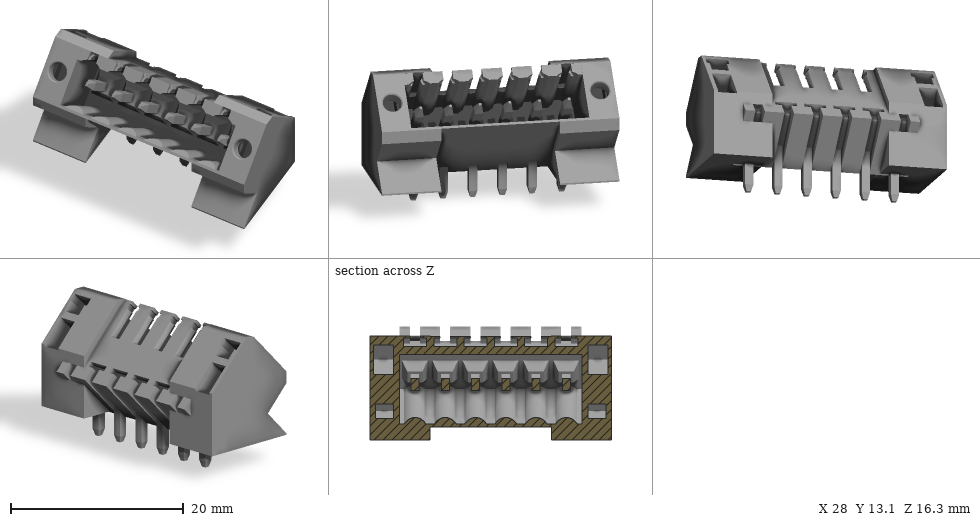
import cadquery as cq
import math


ROOT2 = math.sqrt(2)
TILT_ANGLE = 45

PITCH = 3.5
PIN_COUNT = 6
PIN_XS = [PITCH * (i - (PIN_COUNT - 1) / 2) for i in range(PIN_COUNT)]

HOUSING_LENGTH = PITCH * PIN_COUNT
HOUSING_FRONT = 11.07
V_BOTTOM = -0.19
V_TOP = 7.28
CAVITY_FLOOR = 3.09
V_CAVITY_BOTTOM = 0.12
V_CAVITY_TOP = 5.79
OVERCUT = 1.0

GUIDE_HALF = 1.25
GUIDE_RADIUS = 1.75
RIB_CHAMFER_LENGTH = 1.18
SHOULDER_HALF = 0.72
SLOT_THROAT_HALF = 0.4
SLOT_THROAT_DEPTH = 0.54
SLOT_OUTER_HALF = 0.71
SLOT_BACK = 6.1
LATCH_HALF = 0.89
LATCH_BACK = 9.95
LATCH_FRONT = 10.67
LATCH_RADIUS = 0.34
MOUTH_HALF = 0.58

REAR_SLOT_WIDTH = 1.15
REAR_SLOT_DEPTH = 1.36
REAR_NOTCH_DEPTH = 2.39
REAR_NOTCH_HEIGHT = 1.05
BARB_POCKET_WIDTH = 2.6
BARB_POCKET_BACK = 1.73

PIN_SIZE = 1.0
PIN_V = 3.32
CONTACT_TAPER_START = 8.4
CONTACT_END = 9.88
CONTACT_END_SIZE = 0.3
COLLAR_BASE = 3.0
COLLAR_TOP = 1.75
COLLAR_HEIGHT = 1.25
LEG_BOTTOM = -3.25
LEG_TAPER = 0.8
LEG_END_SIZE = 0.55

TOTAL_LENGTH = 28.0
END_WIDTH = 7.0
FLANGE_WIDTH = (TOTAL_LENGTH - HOUSING_LENGTH) / 2
END_BACK = 4.1
END_FRONT = -8.0
END_TOP = 13.0
TOP_FLAT = 1.37
OPENING_OFFSET = 15.7
NOSE_HEIGHT = 1.45
TOE_HEIGHT = 0.2

SCREW_V = 3.56
SCREW_DIAMETER = 2.2
SCREW_CHAMFER = 0.13
NUT_X = 12.29
NUT_WIDTH = 2.07
NUT_BACK = 7.12
NUT_FRONT = 9.53
NUT_BOTTOM = 0.56
NUT_TAB_WIDTH = 2.73
NUT_TAB_BACK = 8.56
RELIEF_WIDTH = 2.27
RELIEF_BACK = 2.3
RELIEF_FRONT = 6.22
RELIEF_DEPTH = 4.1

SCREW_X = (TOTAL_LENGTH - FLANGE_WIDTH) / 2
FLANGE_FACE = OPENING_OFFSET / ROOT2
END_TOP_FRONT = END_TOP - OPENING_OFFSET
END_TOP_BACK = END_TOP_FRONT + TOP_FLAT
V_END_TOP = (END_TOP + END_TOP_BACK) / ROOT2


def guide_rise(half_chord):
    """Height of the guide arc above a chord of the given half length."""
    return GUIDE_RADIUS - math.sqrt(GUIDE_RADIUS**2 - half_chord**2)


GUIDE_RISE = guide_rise(GUIDE_HALF)
RIB_CROWN = V_CAVITY_BOTTOM + GUIDE_RISE
GROOVE_CROWN = V_CAVITY_TOP + GUIDE_RISE
V_THROAT = V_TOP - SLOT_THROAT_DEPTH


def box(x0, x1, y0, y1, z0, z1):
    return cq.Workplane("XY").box(x1 - x0, y1 - y0, z1 - z0, centered=False).translate((x0, y0, z0))


def centered_box(x, width, y0, y1, z0, z1):
    return box(x - width / 2, x + width / 2, y0, y1, z0, z1)


def tilt(shape):
    """Turn a shape from the tilted frame into the world frame."""
    return shape.rotate((0, 0, 0), (1, 0, 0), TILT_ANGLE)


def housing_block():
    half = HOUSING_LENGTH / 2
    return box(-half, half, V_BOTTOM, V_TOP, 0, HOUSING_FRONT)


def cavity():
    half = HOUSING_LENGTH / 2
    return box(-half, half, V_CAVITY_BOTTOM, V_CAVITY_TOP, CAVITY_FLOOR, HOUSING_FRONT + OVERCUT)


def round_bar(v_chord, v_crown, v_base):
    """Bar along n with a round top over a straight-sided base, the full length of the cavity."""
    return (
        cq.Workplane("XY", origin=(0, 0, CAVITY_FLOOR))
        .moveTo(-GUIDE_HALF, v_chord)
        .threePointArc((0, v_crown), (GUIDE_HALF, v_chord))
        .lineTo(GUIDE_HALF, v_base)
        .lineTo(-GUIDE_HALF, v_base)
        .close()
        .extrude(HOUSING_FRONT - CAVITY_FLOOR)
    )


def rib():
    """Rounded rib along the lower cavity wall, sloped down at the opening."""
    lead_in = (
        cq.Workplane("YZ", origin=(-PITCH / 2, 0, 0))
        .moveTo(V_CAVITY_BOTTOM, HOUSING_FRONT)
        .lineTo(RIB_CROWN, HOUSING_FRONT - RIB_CHAMFER_LENGTH)
        .lineTo(RIB_CROWN, HOUSING_FRONT)
        .close()
        .extrude(PITCH)
    )
    return round_bar(V_CAVITY_BOTTOM, RIB_CROWN, V_BOTTOM).cut(lead_in)


def upper_groove():
    """Round groove along the upper cavity wall, tapering up to the throat of the slot."""
    v_shoulder = GROOVE_CROWN - guide_rise(SHOULDER_HALF)
    taper = (
        cq.Workplane("XY", origin=(0, 0, CAVITY_FLOOR))
        .moveTo(-SHOULDER_HALF, v_shoulder)
        .lineTo(-SLOT_THROAT_HALF, V_THROAT)
        .lineTo(SLOT_THROAT_HALF, V_THROAT)
        .lineTo(SHOULDER_HALF, v_shoulder)
        .close()
        .extrude(LATCH_BACK - CAVITY_FLOOR)
    )
    return round_bar(V_CAVITY_TOP, GROOVE_CROWN, V_CAVITY_TOP - OVERCUT).union(taper)


def upper_slot():
    """Slot through the upper wall: bevelled sides, rounded latch recess and open mouth."""
    bevelled = (
        cq.Workplane("XY", origin=(0, 0, SLOT_BACK))
        .moveTo(-SLOT_OUTER_HALF, V_TOP)
        .lineTo(-SLOT_THROAT_HALF, V_THROAT)
        .lineTo(SLOT_THROAT_HALF, V_THROAT)
        .lineTo(SLOT_OUTER_HALF, V_TOP)
        .close()
        .extrude(LATCH_BACK - SLOT_BACK + LATCH_RADIUS)
    )
    latch = centered_box(0, 2 * LATCH_HALF, V_CAVITY_TOP, V_TOP, LATCH_BACK, LATCH_FRONT)
    latch = latch.edges("|Y and <Z").fillet(LATCH_RADIUS)
    mouth = centered_box(0, 2 * MOUTH_HALF, V_CAVITY_TOP, V_TOP, LATCH_BACK, HOUSING_FRONT)
    return bevelled.union(latch).union(mouth)


def rear_slot():
    """Slot up the rear face for the solder leg, with a deeper notch and barb pocket at its top."""
    notch_bottom = V_TOP - REAR_NOTCH_HEIGHT
    slot = centered_box(0, REAR_SLOT_WIDTH, V_BOTTOM, V_TOP, 0, REAR_SLOT_DEPTH)
    notch = centered_box(0, REAR_SLOT_WIDTH, notch_bottom, V_TOP, 0, REAR_NOTCH_DEPTH)
    barb = centered_box(0, BARB_POCKET_WIDTH, notch_bottom, V_TOP, BARB_POCKET_BACK, REAR_NOTCH_DEPTH)
    return slot.union(notch).union(barb)


def collar():
    """Tapered collar around the pin on the cavity floor."""
    return (
        cq.Workplane("XY", origin=(0, PIN_V, CAVITY_FLOOR))
        .rect(COLLAR_BASE, COLLAR_BASE)
        .workplane(offset=COLLAR_HEIGHT)
        .rect(COLLAR_TOP, COLLAR_TOP)
        .loft(ruled=True)
    )


def housing():
    body = housing_block().cut(cavity())
    recess = upper_groove().union(upper_slot()).union(rear_slot())
    raised = rib().union(collar())
    for x in PIN_XS:
        body = body.cut(recess.translate((x, 0, 0))).union(raised.translate((x, 0, 0)))
    return tilt(body)


def point(y, z_end, end_size, z_full):
    """Square tapered end, growing from end_size at z_end to the full pin size at z_full."""
    return (
        cq.Workplane("XY", origin=(0, y, z_end))
        .rect(end_size, end_size)
        .workplane(offset=z_full - z_end)
        .rect(PIN_SIZE, PIN_SIZE)
        .loft(ruled=True)
    )


def square_bar(y, z0, z1):
    half = PIN_SIZE / 2
    return box(-half, half, y - half, y + half, z0, z1)


def pin():
    """Contact in the tilted cavity joined to an upright solder leg."""
    bend_n = PIN_V
    bend_height = PIN_V * ROOT2
    contact = square_bar(PIN_V, bend_n, CONTACT_TAPER_START)
    contact = contact.union(point(PIN_V, CONTACT_END, CONTACT_END_SIZE, CONTACT_TAPER_START))
    leg_taper_top = LEG_BOTTOM + LEG_TAPER
    leg = square_bar(0, leg_taper_top, bend_height)
    leg = leg.union(point(0, LEG_BOTTOM, LEG_END_SIZE, leg_taper_top))
    return tilt(contact).union(leg)


def end_block():
    """End block at the -X side, notched at the front and cleared for the tilted housing."""
    shoulder = END_TOP - (END_BACK - END_TOP_BACK)
    nose_top = END_FRONT + OPENING_OFFSET
    nose_bottom = nose_top - NOSE_HEIGHT
    notch_depth = (nose_bottom - TOE_HEIGHT) / 2
    x_outer = -TOTAL_LENGTH / 2
    outline = [
        (END_BACK, 0),
        (END_BACK, shoulder),
        (END_TOP_BACK, END_TOP),
        (END_TOP_FRONT, END_TOP),
        (END_FRONT, nose_top),
        (END_FRONT, nose_bottom),
        (END_FRONT + notch_depth, nose_bottom - notch_depth),
        (END_FRONT, TOE_HEIGHT),
        (END_FRONT, 0),
    ]
    block = cq.Workplane("YZ", origin=(x_outer, 0, 0)).polyline(outline).close().extrude(END_WIDTH)
    clearance = box(
        -HOUSING_LENGTH / 2, HOUSING_LENGTH / 2, V_BOTTOM, V_TOP, 0, HOUSING_FRONT + OVERCUT
    )
    return block.cut(tilt(clearance)).cut(tilt(end_block_openings()))


def end_block_openings():
    """Screw hole with its nut pocket, and the relief pocket behind it, at the -X side."""
    v_out = V_END_TOP + OVERCUT
    hole_length = FLANGE_FACE - NUT_FRONT
    hole = cq.Workplane("XY", origin=(-SCREW_X, SCREW_V, NUT_FRONT)).circle(SCREW_DIAMETER / 2)
    hole = hole.extrude(hole_length)
    hole = hole.union(
        cq.Workplane("XY", origin=(-SCREW_X, SCREW_V, FLANGE_FACE))
        .circle(SCREW_DIAMETER / 2 + SCREW_CHAMFER)
        .workplane(offset=-SCREW_CHAMFER)
        .circle(SCREW_DIAMETER / 2)
        .loft()
    )
    nut = centered_box(-NUT_X, NUT_WIDTH, NUT_BOTTOM, v_out, NUT_BACK, NUT_FRONT)
    tabs = centered_box(-NUT_X, NUT_TAB_WIDTH, NUT_BOTTOM, v_out, NUT_TAB_BACK, NUT_FRONT)
    relief_inner = -NUT_X + NUT_WIDTH / 2
    relief_bottom = V_END_TOP - RELIEF_DEPTH
    relief = box(
        relief_inner - RELIEF_WIDTH, relief_inner, relief_bottom, v_out, RELIEF_BACK, RELIEF_FRONT
    )
    return hole.union(nut).union(tabs).union(relief)


left_end = end_block()
single_pin = pin()
result = housing().union(left_end).union(left_end.mirror("YZ"))
for pin_x in PIN_XS:
    result = result.union(single_pin.translate((pin_x, 0, 0)))